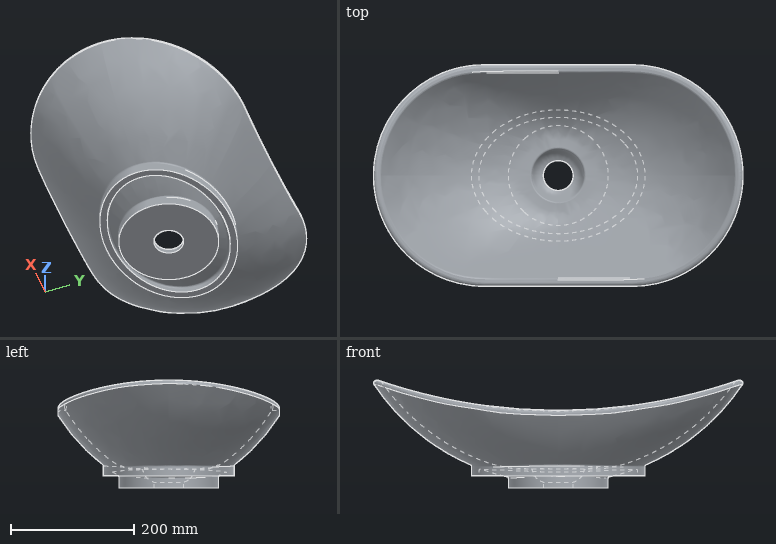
import cadquery as cq
import math

LENGTH = 599.27
WIDTH = 359.42

RIM_MID_HEIGHT = 126.2
RIM_ARC_RADIUS = 895.7
RIM_BAND = 8.5
RIM_WIDTH = 12.5
RIM_OUTER_ROUND = 6.0
RIM_INNER_ROUND = 3.5

LONG_ARC_RADIUS = 363.0
LONG_ARC_CENTER_X = 0.0
LONG_ARC_CENTER_Z = 371.5
CROSS_ARC_RADIUS = 307.7
CROSS_ARC_CENTER_Y = -81.1
CROSS_ARC_CENTER_Z = 281.5
BOWL_BOTTOM = 14.0
BOWL_TOP = 195.0
ELLIPSE_TOP = 38.0

QUARTER_STEPS = 7
QUARTER_FRACTIONS = [step / QUARTER_STEPS for step in range(QUARTER_STEPS + 1)]
LEVEL_COUNT = 6
LEVEL_SPACING = 1.5

WALL = 13.4
BASIN_ARC_BOTTOM = 46.0
FLOOR_RADIUS = 30.0
FLOOR_HEIGHT = 34.0

OUTER_SKIN = {"inset": 0.0, "rim_inset": 0.0, "drop": RIM_BAND, "base": ELLIPSE_TOP}
INNER_SKIN = {"inset": WALL, "rim_inset": RIM_WIDTH, "drop": 0.0, "base": BASIN_ARC_BOTTOM}

FOOT_LENGTH = 281.4
FOOT_WIDTH = 212.8
FOOT_WALL = 12.0
FOOT_BOTTOM = 20.0
FOOT_TOP = 41.0
FOOT_COVE = 3.0

BOSS_RADIUS = 81.0
BOSS_TOP = 25.0
BOSS_COVE = 2.0

DRAIN_HOLE_RADIUS = 24.0
DRAIN_SEAT_HEIGHT = 9.5
DRAIN_CUP_RADIUS = 37.0
DRAIN_CUP_HEIGHT = 18.0
DRAIN_MOUTH_RADIUS = 41.5
DRAIN_TOP = 39.0
DRAIN_ROUND = 3.5

PICK_MARGIN = 2.0


def arc_reach(radius, center_out, center_z, z):
    """Horizontal distance from the axis to a profile arc at height z."""
    return center_out + math.sqrt(radius**2 - (center_z - z) ** 2)


def half_sizes(inset, z):
    """Half length and half width of the bowl, inset from its outer surface, at height z."""
    half_length = arc_reach(LONG_ARC_RADIUS - inset, LONG_ARC_CENTER_X, LONG_ARC_CENTER_Z, z)
    half_width = arc_reach(CROSS_ARC_RADIUS - inset, CROSS_ARC_CENTER_Y, CROSS_ARC_CENTER_Z, z)
    return half_length, half_width


def rim_height(x):
    """Height of the rim arc at x."""
    return RIM_MID_HEIGHT + RIM_ARC_RADIUS - math.sqrt(RIM_ARC_RADIUS**2 - x**2)


def stadium_point(inset, fraction):
    """Point of the inset plan, a fraction of the way from its long side to its end."""
    radius = WIDTH / 2 - inset
    straight = (LENGTH - WIDTH) / 2
    travel = fraction * (straight + radius * math.pi / 2)
    if travel < straight:
        return travel, radius
    turn = (travel - straight) / radius
    return straight + radius * math.sin(turn), radius * math.cos(turn)


def spread(skin, axis, top, climb):
    """How far a profile has opened, from 0 at the base height to 1 at its top.

    The axis is 0 for the lengthwise profile and 1 for the crosswise one.
    """
    base = skin["base"]
    reaches = [half_sizes(skin["inset"], z)[axis] for z in (base, base + climb * (top - base), top)]
    return (reaches[1] - reaches[0]) / (reaches[2] - reaches[0])


def bowl_point(skin, z, fraction):
    """Point of a bowl surface at height z, from its base ellipse out to its plan stadium."""
    base = skin["base"]
    drop = skin["drop"]
    turn = fraction * math.pi / 2
    half_length, half_width = half_sizes(skin["inset"], min(z, base))
    x = half_length * math.sin(turn)
    y = half_width * math.cos(turn)
    if z <= base:
        return x, y

    plan_x, plan_y = stadium_point(skin["rim_inset"], fraction)
    climb = (z - base) / (rim_height(plan_x) - drop - base)
    end_top = rim_height(LENGTH / 2 - skin["rim_inset"]) - drop
    end_spread = spread(skin, 0, end_top, climb)
    side_spread = spread(skin, 1, RIM_MID_HEIGHT - drop, climb)
    opening = side_spread + (end_spread - side_spread) * math.sin(turn) ** 2
    return x + (plan_x - x) * opening, y + (plan_y - y) * opening


def section(quarter, z):
    """Closed outline at height z made of one quarter curve and its mirror images."""
    edges = []
    for sign_x, sign_y in ((1, 1), (1, -1), (-1, -1), (-1, 1)):
        points = [cq.Vector(sign_x * x, sign_y * y, z) for x, y in quarter]
        tangents = [cq.Vector(sign_x, 0, 0), cq.Vector(0, -sign_y, 0)]
        edges.append(cq.Edge.makeSpline(points, tangents=tangents))
    return cq.Wire.assembleEdges(edges)


def bowl_sections(skin, bottom):
    """Outlines of a bowl surface from the height bottom upward."""
    sections = []
    for level in range(LEVEL_COUNT):
        rise = (level / (LEVEL_COUNT - 1)) ** LEVEL_SPACING
        z = bottom + (BOWL_TOP - bottom) * rise
        quarter = [bowl_point(skin, z, fraction) for fraction in QUARTER_FRACTIONS]
        sections.append(section(quarter, z))
    return sections


def outer_bowl():
    """Solid bowl with an upright band where the stadium plan trims its flared top."""
    bowl = cq.Workplane(cq.Solid.makeLoft(bowl_sections(OUTER_SKIN, BOWL_BOTTOM)))
    plan = cq.Workplane("XY").slot2D(LENGTH, WIDTH).extrude(BOWL_TOP)
    return bowl.intersect(plan)


def above_rim():
    """Cylinder along Y whose underside shapes the rim."""
    return (
        cq.Workplane("XZ", origin=(0, 0, RIM_MID_HEIGHT + RIM_ARC_RADIUS))
        .circle(RIM_ARC_RADIUS)
        .extrude(WIDTH, both=True)
    )


def basin():
    """Space inside the bowl."""
    turns = [fraction * math.pi / 2 for fraction in QUARTER_FRACTIONS]
    circle = [(FLOOR_RADIUS * math.sin(turn), FLOOR_RADIUS * math.cos(turn)) for turn in turns]
    floor = section(circle, FLOOR_HEIGHT)
    return cq.Workplane(cq.Solid.makeLoft([floor] + bowl_sections(INNER_SKIN, BASIN_ARC_BOTTOM)))


def foot_ring():
    """Elliptical ring that reaches up into the bowl."""
    half_length = FOOT_LENGTH / 2
    half_width = FOOT_WIDTH / 2
    return (
        cq.Workplane("XY", origin=(0, 0, FOOT_BOTTOM))
        .ellipse(half_length, half_width)
        .ellipse(half_length - FOOT_WALL, half_width - FOOT_WALL)
        .extrude(FOOT_TOP - FOOT_BOTTOM)
    )


def boss():
    """Round boss that reaches up into the bowl's floor."""
    return cq.Workplane("XY").circle(BOSS_RADIUS).extrude(BOSS_TOP)


def drain():
    """Round space from the basin floor down through the boss."""
    return (
        cq.Workplane("XZ")
        .lineTo(DRAIN_HOLE_RADIUS, 0)
        .lineTo(DRAIN_HOLE_RADIUS, DRAIN_SEAT_HEIGHT)
        .threePointArc((DRAIN_CUP_RADIUS, DRAIN_CUP_HEIGHT), (DRAIN_MOUTH_RADIUS, DRAIN_TOP))
        .lineTo(0, DRAIN_TOP)
        .close()
        .revolve(360, (0, 0, 0), (0, 1, 0))
    )


def round_ring(part, low, high, nearest, farthest, radius):
    """Round the edges that lie between two heights and two distances from the Z axis."""
    picked = []
    for edge in part.edges().vals():
        box = edge.BoundingBox()
        middle = edge.positionAt(0.5)
        distance = math.hypot(middle.x, middle.y)
        if low < box.zmin and box.zmax < high and nearest < distance < farthest:
            picked.append(edge)
    return part.newObject(picked).fillet(radius)


def rim_face(part):
    """Saddle-shaped rim, the largest cylindrical face."""
    return max(part.faces("%CYLINDER").vals(), key=lambda face: face.Area())


def round_rim(part):
    """Round the rim toward the basin and toward the outside."""
    part = part.newObject(rim_face(part).innerWires()[0].Edges()).fillet(RIM_INNER_ROUND)
    return part.newObject(rim_face(part).outerWire().Edges()).fillet(RIM_OUTER_ROUND)


body = outer_bowl().cut(above_rim()).union(foot_ring()).union(boss())
foot_nearest = FOOT_WIDTH / 2 - PICK_MARGIN
foot_farthest = FOOT_LENGTH / 2 + PICK_MARGIN
body = round_ring(body, FOOT_BOTTOM, FOOT_TOP, foot_nearest, foot_farthest, FOOT_COVE)
boss_nearest = BOSS_RADIUS - PICK_MARGIN
boss_farthest = BOSS_RADIUS + PICK_MARGIN
body = round_ring(body, BOWL_BOTTOM, BOSS_TOP, boss_nearest, boss_farthest, BOSS_COVE)

body = body.cut(basin()).cut(drain())
mouth_farthest = DRAIN_MOUTH_RADIUS + PICK_MARGIN
body = round_ring(body, DRAIN_CUP_HEIGHT, DRAIN_TOP, DRAIN_CUP_RADIUS, mouth_farthest, DRAIN_ROUND)
result = round_rim(body)